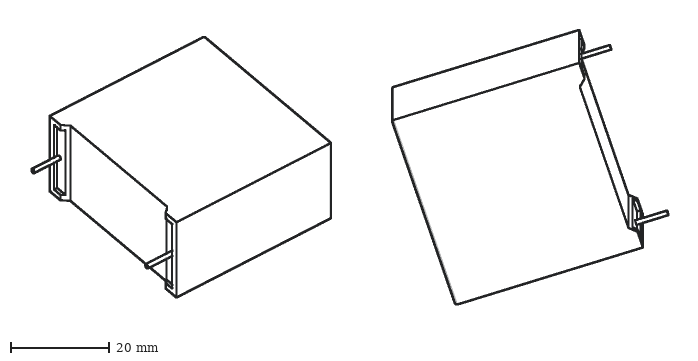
import cadquery as cq

CASE_WIDTH = 41.8
CASE_HEIGHT = 20.3
CASE_LENGTH = 40.1
BACK_EDGE_RADIUS = 0.45

FOOT_WIDTH = 3.6
FOOT_HEIGHT = 1.48
FOOT_SLOPE_WIDTH = 1.35

POCKET_MARGIN = 1.48
POCKET_WIDTH = 2.85
POCKET_DEPTH = 0.8
POCKET_HEIGHT = CASE_HEIGHT - 2 * POCKET_MARGIN

LEAD_SPACING = 37.5
LEAD_DIAMETER = 1.0
LEAD_PROJECTION = 6.0

SIDES = (-1, 1)

half_width = CASE_WIDTH / 2
foot_edge = half_width - FOOT_WIDTH
relief_edge = foot_edge - FOOT_SLOPE_WIDTH
pocket_centre = half_width - POCKET_MARGIN - POCKET_WIDTH / 2


def make_pocket(side):
    """Rectangular cutter that opens through the foot on one side."""
    pocket = cq.Workplane("XY").box(
        POCKET_WIDTH, POCKET_DEPTH, POCKET_HEIGHT, centered=(True, False, True)
    )
    return pocket.translate((side * pocket_centre, 0, 0))


def make_case():
    """Block with a relief between two feet, a rounded back rim and two lead pockets."""
    outline = [
        (-half_width, 0),
        (-foot_edge, 0),
        (-relief_edge, FOOT_HEIGHT),
        (relief_edge, FOOT_HEIGHT),
        (foot_edge, 0),
        (half_width, 0),
        (half_width, CASE_LENGTH),
        (-half_width, CASE_LENGTH),
    ]
    case = cq.Workplane("XY").polyline(outline).close().extrude(CASE_HEIGHT / 2, both=True)
    case = case.faces(">Y").edges().fillet(BACK_EDGE_RADIUS)
    for side in SIDES:
        case = case.cut(make_pocket(side))
    return case


def make_lead(side):
    """Round wire standing on the floor of one pocket."""
    lead_length = POCKET_DEPTH + LEAD_PROJECTION
    lead = cq.Workplane("XZ").circle(LEAD_DIAMETER / 2).extrude(lead_length)
    return lead.translate((side * LEAD_SPACING / 2, POCKET_DEPTH, 0))


case = make_case()
leads = [make_lead(side) for side in SIDES]

result = cq.Compound.makeCompound([case.val(), *[lead.val() for lead in leads]])